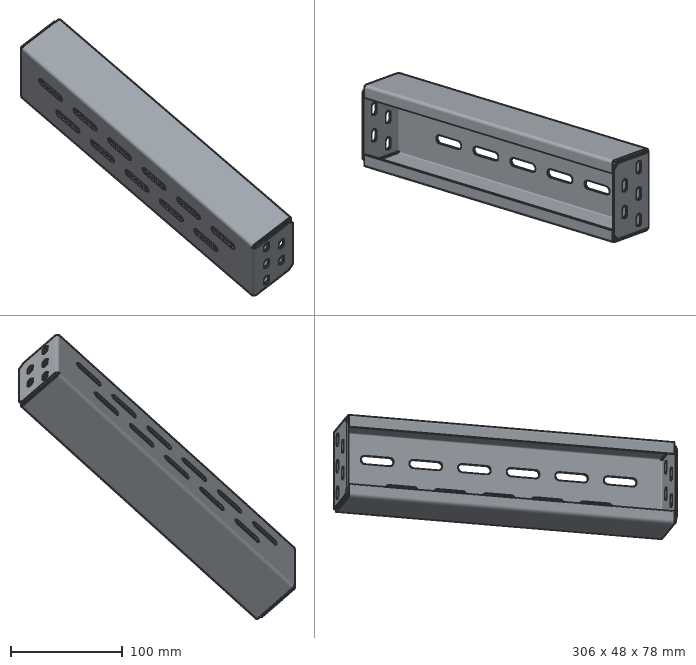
import cadquery as cq

length = 306.0
depth = 48.0
height = 78.0

sheet = 2.0
bend_radius = 3.0
inner_bend_radius = bend_radius - sheet

lip_height = 12.0
end_inset = 2.5
end_flange_gap = bend_radius
end_corner_chamfer = 5.0
pan_height = height - 2 * end_flange_gap

front_slot_length = 30.3
front_slot_width = 8.0
front_slot_pitch = 45.0
front_slot_rise = 13.0
upper_row_count = 6
lower_row_count = 5

end_slot_length = 12.0
end_slot_width = 6.7
end_slot_pitch = 25.0
front_column_y = 15.3
back_column_y = 34.0
front_column_count = 3
back_column_count = 2


def centred_positions(count, pitch):
    """Evenly pitched positions centred on zero."""
    return [(i - (count - 1) / 2) * pitch for i in range(count)]


def box(x_size, y_size, z_size):
    """Block centred in X and Z, starting at the front plane y = 0."""
    return cq.Workplane("XY").box(x_size, y_size, z_size, centered=(True, False, True))


def make_channel():
    """Front panel, top, bottom and back lips, folded along X."""
    channel_length = length - 2 * end_inset
    outside = box(channel_length, depth, height).edges("|X").fillet(bend_radius)
    inside = (
        box(channel_length, depth - 2 * sheet, height - 2 * sheet)
        .edges("|X")
        .fillet(inner_bend_radius)
        .translate((0, sheet, 0))
    )
    back_opening = box(channel_length, depth, height - 2 * lip_height).translate((0, depth / 2, 0))
    unbent_length = length - 2 * bend_radius
    end_notches = box(length, sheet, pan_height).cut(box(unbent_length, sheet, pan_height))
    return outside.cut(inside).cut(back_opening).cut(end_notches)


def make_end_pan():
    """Front panel and both end flanges, folded along Z, with chamfered back corners."""
    outside = (
        box(length, depth, pan_height)
        .edges("|Z and <Y")
        .fillet(bend_radius)
        .edges("|X and >Y")
        .chamfer(end_corner_chamfer)
    )
    inside = (
        box(length - 2 * sheet, depth, pan_height)
        .edges("|Z and <Y")
        .fillet(inner_bend_radius)
        .translate((0, sheet, 0))
    )
    return outside.cut(inside)


def make_front_slots():
    """Two staggered rows of slots through the front panel."""
    upper_row = [(x, front_slot_rise) for x in centred_positions(upper_row_count, front_slot_pitch)]
    lower_row = [(x, -front_slot_rise) for x in centred_positions(lower_row_count, front_slot_pitch)]
    return (
        cq.Workplane("XZ")
        .pushPoints(upper_row + lower_row)
        .slot2D(front_slot_length, front_slot_width)
        .extrude(-2 * sheet)
    )


def make_end_slots():
    """Two staggered columns of upright slots through both end flanges."""
    front_column = [(front_column_y, z) for z in centred_positions(front_column_count, end_slot_pitch)]
    back_column = [(back_column_y, z) for z in centred_positions(back_column_count, end_slot_pitch)]
    return (
        cq.Workplane("YZ")
        .pushPoints(front_column + back_column)
        .slot2D(end_slot_length, end_slot_width, angle=90)
        .extrude(length, both=True)
    )


result = make_channel().union(make_end_pan()).cut(make_front_slots()).cut(make_end_slots())